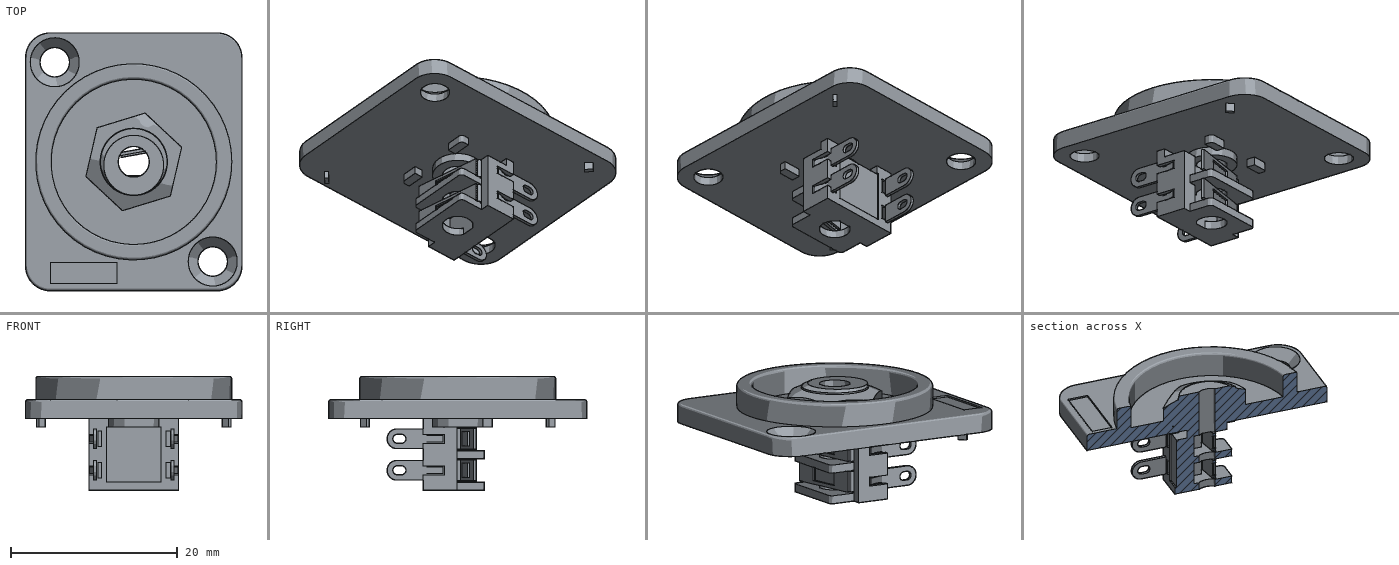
import cadquery as cq
import math


plate_width = 26.0
plate_length = 31.0
plate_thickness = 2.3
plate_corner_radius = 3.0
edge_fillet = 0.3
screw_x = 9.5
screw_y = 11.97
screw_positions = [(-screw_x, screw_y), (screw_x, -screw_y)]
screw_hole_diameter = 3.5
countersink_diameter = 5.9
countersink_angle = 90.0
label_width = 8.0
label_height = 2.55
label_center_x = -5.98
label_center_y = -13.35
label_depth = 0.2

ring_outer_diameter = 23.55
ring_inner_diameter = 19.85
ring_floor = 2.0
ring_top = 5.08

peg_length = 1.05
peg_width = 0.5
peg_offset = 11.15
underside_height = 1.02

nut_across_corners = 12.03
nut_angle = 17.0
nut_hole_diameter = 8.1
nut_corner_top = 3.7
nut_inner_top = 4.6
bush_diameter = 8.0
bush_tip_diameter = 7.2
bush_tip_shift = (bush_diameter - bush_tip_diameter) / 2
bush_tip_height = 0.3
bush_top = 5.08
bore_diameter = 3.7
collar_diameter = 6.05

body_half_width = 5.4
body_rear = -4.15
body_front = -0.05
body_bottom = -8.62
panel_half_width = 3.25
panel_bottom = -7.63
panel_depth = 0.2
cavity_rear = -1.65
shelf_half_width = 4.28
shelf_front = 3.2
shelf_thickness = 1.0
shelf_corner_radius = 0.5
shelf_tops = (-3.85, body_bottom + shelf_thickness)

tier_centers = (-2.42, -6.2)
sheet_thickness = 0.37
terminal_x = 4.65
terminal_height = 2.4
terminal_tip = -8.5
terminal_root = -1.25
eyelet_y = -7.0
eyelet_length = 1.55
eyelet_height = 1.05
notch_height = 1.1
notch_front = -1.6
barb_height = 0.8
barb_front = -1.8
barb_rear = -3.7
barb_rise = 0.5
slot_x = 4.1
slot_width = 0.4
right_slot_width = 0.5
slot_height = 1.85
slot_depth = 0.3
blade_height = 2.55
blade_bend_y = 0.68
blade_bend_radius = 0.3
blade_bend_overlap = 0.05
blade_end_x = 4.5
blade_end_y = 2.23
dimple_length = 3.72
dimple_height = 1.7
dimple_depth = 0.25


def box(x_range, y_range, z_range):
    """Box spanning the given (low, high) ranges."""
    spans = [high - low for low, high in (x_range, y_range, z_range)]
    corner = (x_range[0], y_range[0], z_range[0])
    return cq.Workplane("XY").box(*spans, centered=False).translate(corner)


def cylinder(diameter, bottom, top):
    """Cylinder on the jack axis."""
    return cq.Workplane("XY").workplane(offset=bottom).circle(diameter / 2).extrude(top - bottom)


def mirrored_box(x_inner, x_outer, y_range, z_range):
    """Pair of boxes placed symmetrically about the YZ plane."""
    right = box((x_inner, x_outer), y_range, z_range)
    return right.union(right.mirror("YZ"))


def make_plate():
    plate = cq.Workplane("XY").rect(plate_width, plate_length).extrude(plate_thickness)
    plate = plate.edges("|Z").fillet(plate_corner_radius)
    plate = plate.faces(">Z").edges().fillet(edge_fillet)
    plate = (
        plate.faces(">Z").workplane(centerOption="ProjectedOrigin", origin=(0, 0, 0))
        .pushPoints(screw_positions)
        .cskHole(screw_hole_diameter, countersink_diameter, countersink_angle)
    )
    label = (
        cq.Workplane("XY").workplane(offset=plate_thickness - label_depth)
        .center(label_center_x, label_center_y)
        .rect(label_width, label_height).extrude(label_depth)
    )
    floor_recess = cylinder(ring_inner_diameter, ring_floor, plate_thickness)
    return plate.cut(label).cut(floor_recess)


def make_ring():
    ring = (
        cq.Workplane("XY").circle(ring_outer_diameter / 2).circle(ring_inner_diameter / 2)
        .extrude(ring_top)
    )
    return ring.faces(">Z").edges().fillet(edge_fillet)


def make_nut():
    """Hexagon with a spherical top, and a thin clearance around the bush."""
    corner_radius = nut_across_corners / 2
    hole_radius = nut_hole_diameter / 2
    sphere_z = (
        hole_radius**2 + nut_inner_top**2 - corner_radius**2 - nut_corner_top**2
    ) / (2 * (nut_inner_top - nut_corner_top))
    sphere_radius = math.hypot(corner_radius, nut_corner_top - sphere_z)
    hexagon = (
        cq.Workplane("XY").polygon(6, nut_across_corners).extrude(bush_top)
        .rotate((0, 0, 0), (0, 0, 1), nut_angle)
    )
    dome = cq.Workplane("XY").sphere(sphere_radius).translate((0, 0, sphere_z))
    nut = hexagon.intersect(dome)
    return nut.cut(cylinder(nut_hole_diameter, ring_floor, bush_top))


def make_bush():
    """Bush whose bevelled tip is off centre, with a collar below the plate."""
    shoulder = bush_top - bush_tip_height
    tip = (
        cq.Workplane("XY").workplane(offset=shoulder).circle(bush_diameter / 2)
        .workplane(offset=bush_tip_height).center(0, -bush_tip_shift)
        .circle(bush_tip_diameter / 2).loft(ruled=True)
    )
    bush = cylinder(bush_diameter, 0, shoulder).union(tip)
    return bush.union(cylinder(collar_diameter, -underside_height, 0))


def make_peg(x, y, angle):
    """Rectangular peg under the plate, its length turned by angle from the X axis."""
    peg = cq.Workplane("XY").rect(peg_length, peg_width).extrude(-underside_height)
    return peg.rotate((0, 0, 0), (0, 0, 1), angle).translate((x, y, 0))


def make_pads():
    """Four corner pads that close the gap between the plate and the body."""
    inner = collar_diameter / 2
    height = (-underside_height, 0)
    front = mirrored_box(inner, body_half_width, (inner, -body_rear), height)
    front = front.faces(">Y").edges("|Z").edges("<X or >X").fillet(shelf_corner_radius)
    return front.union(mirrored_box(inner, body_half_width, (body_rear, -inner), height))


def make_body():
    width = (-body_half_width, body_half_width)
    shelf_width = (-shelf_half_width, shelf_half_width)
    panel = (-panel_half_width, panel_half_width)
    body = box(width, (body_rear, body_front), (body_bottom, -underside_height))
    body = body.cut(box(panel, (cavity_rear, body_front), (body_bottom, -underside_height)))
    body = body.cut(box(panel, (body_rear, body_rear + panel_depth), (panel_bottom, -underside_height)))
    for top in shelf_tops:
        shelf = box(shelf_width, (cavity_rear, shelf_front), (top - shelf_thickness, top))
        shelf = shelf.faces(">Y").edges("|Z").fillet(shelf_corner_radius)
        body = body.union(shelf.cut(cylinder(bore_diameter, body_bottom, 0)))
    for center in tier_centers:
        notch = (center - notch_height / 2, center + notch_height / 2)
        slot = (center - slot_height / 2, center + slot_height / 2)
        terminal_face = terminal_x + sheet_thickness / 2
        body = body.cut(mirrored_box(terminal_face, body_half_width, (body_rear, notch_front), notch))
        slot_y = (body_rear, body_rear + slot_depth)
        slot_inner = slot_x - slot_width / 2
        body = body.cut(box((-slot_x - slot_width / 2, -slot_inner), slot_y, slot))
        body = body.cut(box((slot_inner, slot_inner + right_slot_width), slot_y, slot))
    return body


def make_terminal(center):
    """Right-hand solder tag with an eyelet and a barb in the body notch."""
    inner_face = terminal_x - sheet_thickness / 2
    outer_face = terminal_x + sheet_thickness / 2
    round_radius = terminal_height / 2
    round_y = terminal_tip + round_radius
    tag = (
        cq.Workplane("YZ").workplane(offset=inner_face)
        .moveTo(terminal_root, center - round_radius)
        .lineTo(round_y, center - round_radius)
        .threePointArc((terminal_tip, center), (round_y, center + round_radius))
        .lineTo(terminal_root, center + round_radius)
        .close().extrude(sheet_thickness)
    )
    eyelet = (
        cq.Workplane("YZ").workplane(offset=inner_face).center(eyelet_y, center)
        .slot2D(eyelet_length, eyelet_height).extrude(sheet_thickness)
    )
    barb = (
        cq.Workplane("XY").workplane(offset=center - barb_height / 2)
        .polyline([
            (outer_face, barb_rear),
            (outer_face, barb_front),
            (outer_face + barb_rise, barb_front),
        ]).close().extrude(barb_height)
    )
    return tag.cut(eyelet).union(barb)


def make_blade(center):
    """Contact strip from the left of the body slanting across the bore, dimpled in the middle."""
    dx = blade_end_x + slot_x
    dy = blade_end_y - blade_bend_y
    angle = math.degrees(math.atan2(dy, dx))
    middle = ((blade_end_x - slot_x) / 2, (blade_end_y + blade_bend_y) / 2, center)
    half_sheet = sheet_thickness / 2

    def slanted(length, thickness, height, offset):
        """Box along the slant, shifted by offset across it."""
        strip = cq.Workplane("XY").box(length, thickness, height).translate((0, offset, 0))
        return strip.rotate((0, 0, 0), (0, 0, 1), angle).translate(middle)

    leg = box(
        (-slot_x - half_sheet, -slot_x + half_sheet),
        (cavity_rear, blade_bend_y - sheet_thickness + blade_bend_overlap),
        (center - blade_height / 2, center + blade_height / 2),
    )
    leg = leg.edges("|Z and <X and >Y").fillet(blade_bend_radius)
    blade = leg.union(slanted(math.hypot(dx, dy), sheet_thickness, blade_height, -half_sheet))
    blade = blade.union(slanted(
        dimple_length, dimple_depth, dimple_height, -sheet_thickness - dimple_depth / 2
    ))
    return blade.cut(slanted(dimple_length, dimple_depth, dimple_height, -dimple_depth / 2))


result = make_plate().union(make_ring()).union(make_nut()).union(make_bush())
result = result.cut(cylinder(bore_diameter, -underside_height, bush_top))
result = result.union(make_pads()).union(make_body())
result = result.union(make_peg(-peg_offset, -peg_offset, 45))
result = result.union(make_peg(peg_offset, peg_offset, -45))
for tier_center in tier_centers:
    terminal = make_terminal(tier_center)
    result = result.union(terminal).union(terminal.mirror("YZ"))
    result = result.union(make_blade(tier_center))